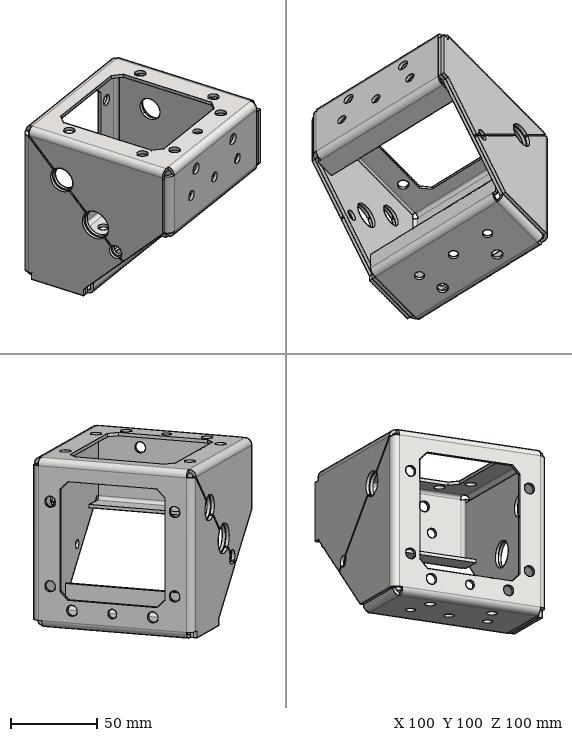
import cadquery as cq
import math


SIZE = 100.0
SHEET = 2.0
BEND_IN = 2.2
BEND_OUT = SHEET + BEND_IN
LAYER_GAP = 0.1
LAYER_PITCH = SHEET + LAYER_GAP
INNER_BEND = LAYER_PITCH + BEND_OUT
MID = SIZE / 2

FLANGE = 46.2
LIP = 17.0
FLANGE_FLAT = FLANGE - BEND_OUT
DIAGONAL = FLANGE_FLAT - BEND_OUT

WINDOW_WIDTH = 65.0
WINDOW_BOTTOM = 17.5
WINDOW_TOP = 87.8
WINDOW_CORNER = 5.0

SCREW_DIA = 6.5
PLATE_MARGIN = 11.5
SCREW_PITCH = 50.0
CENTER_DIA = 5.5
FLANGE_HOLE_DIA = 5.8
FLANGE_HOLE_X = 27.0
FLANGE_SCREW_PITCH = 40.0

SEAM_WIDTH = 0.95
MITRE = 0.5
LAYER_CLEARANCE = 1.6
CABLE_DIA, CABLE_X = 13.5, 27.0
MIDDLE_DIA = 16.2
FRONT_PIN_DIA, BACK_PIN_DIA, PIN_X = 6.7, 5.2, 63.8


def box(x0, x1, y0, y1, z0, z1):
    """Block between two opposite corners."""
    return cq.Workplane("XY").box(x1 - x0, y1 - y0, z1 - z0, centered=False).translate((x0, y0, z0))


def positive_axis(sketch):
    """Unit vector along the sketch plane's normal, on its positive coordinate side."""
    normal = sketch.plane.zDir
    return normal * (normal.x + normal.y + normal.z)


def bend(plane, center, toward, start, end):
    """Quarter-round bend along the plane normal; toward gives the signs of its quadrant."""
    u, v = center
    su, sv = toward
    diagonal = math.sqrt(0.5)
    quarter = (
        cq.Workplane(plane)
        .moveTo(u + su * BEND_IN, v)
        .lineTo(u + su * BEND_OUT, v)
        .threePointArc((u + su * BEND_OUT * diagonal, v + sv * BEND_OUT * diagonal), (u, v + sv * BEND_OUT))
        .lineTo(u, v + sv * BEND_IN)
        .threePointArc((u + su * BEND_IN * diagonal, v + sv * BEND_IN * diagonal), (u + su * BEND_IN, v))
        .close()
    )
    axis = positive_axis(quarter)
    length = (end - start) * axis.dot(quarter.plane.zDir)
    return quarter.extrude(length).translate(axis * start)


def side_sheet(outline, y0):
    """Flat side-wall sheet from an X-Z outline, SHEET thick, starting at y0."""
    return cq.Workplane("XZ").polyline(outline).close().extrude(-SHEET).translate((0, y0, 0))


def hole(plane, center, dia, start):
    """Cutter for a round hole through one sheet, from start toward positive."""
    cutter = cq.Workplane(plane).center(*center).circle(dia / 2)
    axis = positive_axis(cutter)
    depth = SHEET * axis.dot(cutter.plane.zDir)
    return cutter.extrude(depth).translate(axis * start)


def window_plate():
    """-X plate with its chamfered window and screw holes."""
    plate = box(0, SHEET, BEND_OUT, SIZE - BEND_OUT, BEND_OUT, SIZE - BEND_OUT)
    window = (
        box(0, SHEET, MID - WINDOW_WIDTH / 2, MID + WINDOW_WIDTH / 2, WINDOW_BOTTOM, WINDOW_TOP)
        .edges("|X")
        .chamfer(WINDOW_CORNER)
    )
    plate = plate.cut(window)
    plate = plate.cut(hole("YZ", (MID, PLATE_MARGIN), CENTER_DIA, 0))
    for side in (-1, 1):
        offset = side * SCREW_PITCH / 2
        edge_y = MID + side * (MID - PLATE_MARGIN)
        plate = plate.cut(hole("YZ", (MID + offset, PLATE_MARGIN), SCREW_DIA, 0))
        for z in (MID - SCREW_PITCH / 2, MID + SCREW_PITCH / 2):
            plate = plate.cut(hole("YZ", (edge_y, z), SCREW_DIA, 0))
    return plate


def outer_walls():
    """Lower triangles of the outer side walls, each bent from the -X plate."""
    far = SIZE - BEND_OUT
    tip = (SIZE + DIAGONAL) / 2
    front = side_sheet(
        [
            (INNER_BEND, 0), (FLANGE_FLAT, 0), (FLANGE_FLAT, BEND_OUT), (tip, SIZE - tip),
            (BEND_OUT, far), (BEND_OUT, BEND_OUT), (INNER_BEND, BEND_OUT),
        ],
        0,
    )
    back = side_sheet(
        [(BEND_OUT, BEND_OUT), (FLANGE_FLAT, BEND_OUT), (tip, SIZE - tip), (BEND_OUT, far)],
        SIZE - SHEET,
    )
    front_bend = bend("XY", (BEND_OUT, BEND_OUT), (-1, -1), BEND_OUT, far)
    back_bend = bend("XY", (BEND_OUT, far), (-1, 1), BEND_OUT, far)
    return front.union(back).union(front_bend).union(back_bend)


def bottom_flange():
    """Bottom plate bent from the -X plate, with its screw holes and upturned lip."""
    y0 = BEND_OUT
    y1 = SIZE - INNER_BEND
    plate = box(BEND_OUT, FLANGE_FLAT, y0, y1, 0, SHEET)
    for y in (MID - SCREW_PITCH / 2, MID, MID + SCREW_PITCH / 2):
        plate = plate.cut(hole("XY", (FLANGE_HOLE_X, y), FLANGE_HOLE_DIA, 0))
    for y in (MID - FLANGE_SCREW_PITCH / 2, MID + FLANGE_SCREW_PITCH / 2):
        plate = plate.cut(hole("XY", (PLATE_MARGIN, y), SCREW_DIA, 0))
    root_bend = bend("XZ", (BEND_OUT, BEND_OUT), (-1, -1), y0, y1)
    lip_bend = bend("XZ", (FLANGE_FLAT, BEND_OUT), (1, -1), y0, y1)
    lip = box(FLANGE - SHEET, FLANGE, y0, SIZE - BEND_OUT, BEND_OUT, LIP)
    return plate.union(root_bend).union(lip_bend).union(lip)


def inner_back_wall():
    """Inner layer of the +Y wall, bent up from the bottom plate."""
    near = SIZE - INNER_BEND
    far = SIZE - BEND_OUT
    y0 = SIZE - LAYER_PITCH - SHEET
    wall = side_sheet(
        [
            (INNER_BEND, BEND_OUT), (FLANGE_FLAT, BEND_OUT), (far, SIZE - FLANGE_FLAT),
            (SIZE, SIZE - FLANGE_FLAT), (SIZE, near), (INNER_BEND, near),
        ],
        y0,
    )
    fold = bend("YZ", (near, BEND_OUT), (1, -1), BEND_OUT, FLANGE_FLAT)
    return wall.union(fold)


def opposite(half):
    """Half turn that swaps -X with top, bottom with +X and front with back."""
    return half.rotate((0, MID, SIZE), (SIZE, MID, 0), 180)


def wall_opening(x, dia, front):
    """Stepped opening through both layers of one side wall, centred on the seam."""
    z = SIZE - x
    outer_y, inner_y = (0, LAYER_PITCH) if front else (SIZE - SHEET, SIZE - LAYER_PITCH - SHEET)
    outer = hole("XZ", (x, z), dia + LAYER_CLEARANCE, outer_y)
    return outer.union(hole("XZ", (x, z), dia, inner_y))


def seam(y0):
    """Diagonal gap through one outer side-wall layer."""
    start = BEND_OUT
    end = (SIZE + FLANGE) / 2
    length = (end - start) * math.sqrt(2)
    middle = (start + end) / 2
    gap = cq.Workplane("XY").box(length, SHEET, SEAM_WIDTH).rotate((0, 0, 0), (0, 1, 0), 45)
    return gap.translate((middle, y0 + SHEET / 2, SIZE - middle))


def mitre(y0):
    """Kite-shaped cutter that tapers the two side-wall bend ends at the top-left corner."""
    far = SIZE - BEND_OUT
    kite = [(BEND_OUT, SIZE), (BEND_OUT + MITRE, far), (BEND_OUT, far - MITRE), (0, far)]
    return cq.Workplane("XZ").polyline(kite).close().extrude(-BEND_OUT).translate((0, y0, 0))


half = window_plate().union(outer_walls()).union(bottom_flange()).union(inner_back_wall())
top_bend = bend("XZ", (BEND_OUT, SIZE - BEND_OUT), (-1, 1), BEND_OUT, SIZE - BEND_OUT)
result = half.union(opposite(half)).union(top_bend)

for wall_y in (0, SIZE - SHEET):
    result = result.cut(seam(wall_y))
for bend_y in (0, SIZE - BEND_OUT):
    result = result.cut(mitre(bend_y))
for is_front, pin_dia in ((True, FRONT_PIN_DIA), (False, BACK_PIN_DIA)):
    result = result.cut(wall_opening(CABLE_X, CABLE_DIA, is_front))
    result = result.cut(wall_opening(PIN_X, pin_dia, is_front))
result = result.cut(wall_opening(MID, MIDDLE_DIA, True))